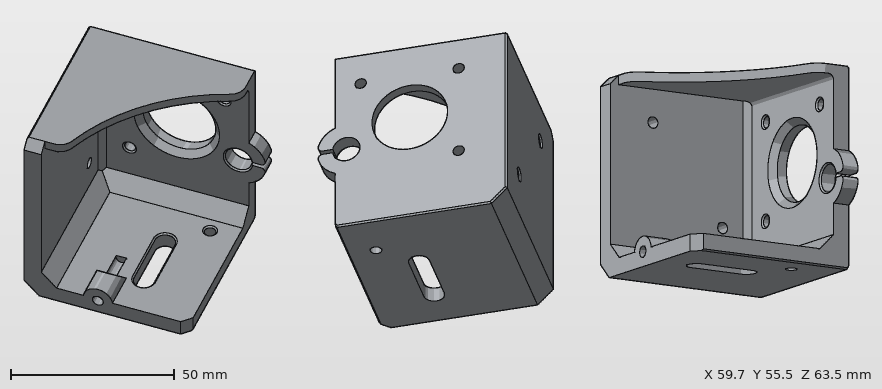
import cadquery as cq

width = 54.35
depth = 55.5
height = 63.5
wall_thickness = 5.7
floor_thickness = 5.35
back_thickness = 5.45
top_thickness = 3.0

corner_bevel = 5.0
small_bevel = 3.0
wall_bevel = 2.0
top_fillet = 2.0
edge_chamfer = 0.5
hole_chamfer = 0.5

scoop_offset = 73.55
scoop_radius = 64.8
scoop_tip_fillet = 5.0

mount_x = 30.75
mount_z = 36.95
mount_pitch = 31.0
bore_radius = 11.95
bore_chamfer = 2.1

clamp_x = 50.8
clamp_z = 28.65
clamp_radius = 9.2
clamp_hole_radius = 4.3
clamp_gap = 1.3
clamp_tip_fillet = 1.45

screw_radius = 1.8
wall_holes = [(15.4, 50.1), (40.65, 20.0)]
floor_hole = (45.4, 40.4)

slot_x = 34.2
slot_front_y = 13.3
slot_back_y = 31.1
slot_radius = 3.25

boss_x = 24.25
boss_z = 4.7
boss_radius = 4.8
boss_length = 11.8
boss_hole_length = 19.95

inner_depth = depth - back_thickness
ceiling = height - top_thickness


def prism_along_y(points, y_start, y_end):
    """Extrude an (x, z) outline between two depths."""
    return cq.Workplane("XZ", origin=(0, y_start, 0)).polyline(points).close().extrude(y_start - y_end)


def chamfered_hole(mouth_centre, direction, radius, length, chamfer):
    """Drill along direction, with a conical mouth at its start."""
    start = cq.Vector(*mouth_centre)
    axis = cq.Vector(*direction)
    drill = cq.Solid.makeCylinder(radius, length, start, axis)
    mouth = cq.Solid.makeCone(radius + chamfer, radius, chamfer, start, axis)
    return cq.Workplane(drill.fuse(mouth))


def back_hole(x, z, radius, chamfer):
    """Hole through the back plate, chamfered on its inner face."""
    return chamfered_hole((x, inner_depth, z), (0, 1, 0), radius, back_thickness, chamfer)


def make_shell():
    """Bevelled block hollowed out from the front and the right."""
    block = prism_along_y(
        [(corner_bevel, 0), (width, 0), (width, height), (0, height), (0, corner_bevel)],
        0, depth,
    )
    block = block.edges("|Y").edges("(<X and >Z) or (>X and <Z)").chamfer(edge_chamfer)
    block = block.faces(">Y").edges("not >X").chamfer(edge_chamfer)

    cavity = prism_along_y(
        [
            (wall_thickness, floor_thickness + corner_bevel),
            (wall_thickness + corner_bevel, floor_thickness),
            (width, floor_thickness),
            (width, ceiling),
            (wall_thickness, ceiling),
        ],
        0, inner_depth,
    )
    floor_wedge = (
        cq.Workplane("YZ")
        .polyline([
            (inner_depth, floor_thickness),
            (inner_depth - corner_bevel, floor_thickness),
            (inner_depth, floor_thickness + corner_bevel),
        ])
        .close()
        .extrude(width)
    )
    wall_wedge = (
        cq.Workplane("XY")
        .polyline([
            (wall_thickness, inner_depth),
            (wall_thickness + wall_bevel, inner_depth),
            (wall_thickness, inner_depth - wall_bevel),
        ])
        .close()
        .extrude(height)
    )
    top_cove = (
        cq.Workplane("YZ")
        .moveTo(inner_depth, ceiling)
        .lineTo(inner_depth, ceiling - top_fillet)
        .radiusArc((inner_depth - top_fillet, ceiling), -top_fillet)
        .close()
        .extrude(width)
    )
    return block.cut(cavity.cut(floor_wedge).cut(wall_wedge).cut(top_cove))


def trim_top_plate(body):
    """Cut the front edge and the scooped corner of the top plate, and bevel the wall corner."""
    plate_depth = depth - small_bevel
    plate = (
        cq.Workplane("XY", origin=(0, small_bevel, ceiling))
        .rect(width, plate_depth, centered=False)
        .extrude(top_thickness)
    )
    scoop = (
        cq.Workplane("XY", origin=(scoop_offset, depth - scoop_offset, ceiling))
        .circle(scoop_radius)
        .extrude(top_thickness)
    )
    plate = plate.cut(scoop)
    front_tip = plate.edges("|Z").edges("<Y").edges(">X")
    right_tip = plate.edges("|Z").edges(">X").edges("<Y")
    plate = front_tip.add(right_tip).fillet(scoop_tip_fillet)

    opening = (
        cq.Workplane("XY", origin=(wall_thickness, 0, ceiling))
        .rect(width - wall_thickness, inner_depth - top_fillet, centered=False)
        .extrude(top_thickness)
        .cut(plate)
    )
    wall_corner = (
        cq.Workplane("YZ")
        .polyline([(0, height), (small_bevel, height), (0, height - small_bevel)])
        .close()
        .extrude(width)
    )
    return body.cut(opening).cut(wall_corner)


def bevel_floor_corner(body):
    corner = (
        cq.Workplane("XY")
        .polyline([(width, 0), (width - small_bevel, 0), (width, small_bevel)])
        .close()
        .extrude(floor_thickness)
    )
    return body.cut(corner)


def add_clamp(body):
    """Split ring joined to the back plate, opening to the right."""
    clamp_face = cq.Workplane("XZ", origin=(clamp_x, inner_depth, clamp_z))
    ring = clamp_face.circle(clamp_radius).extrude(-back_thickness)
    gap = (
        clamp_face
        .center(clamp_radius / 2, 0)
        .rect(clamp_radius, clamp_gap)
        .extrude(-back_thickness)
    )
    ring = ring.cut(gap).edges("|Y and >X").fillet(clamp_tip_fillet)
    clamp_hole = back_hole(clamp_x, clamp_z, clamp_hole_radius, hole_chamfer)
    return body.union(ring).cut(gap).cut(clamp_hole)


def cut_motor_mount(body):
    """Central bore and three screw holes; the clamp takes the place of the fourth."""
    body = body.cut(back_hole(mount_x, mount_z, bore_radius, bore_chamfer))
    half_pitch = mount_pitch / 2
    for side_x, side_z in [(-1, 1), (1, 1), (-1, -1)]:
        screw_x = mount_x + side_x * half_pitch
        screw_z = mount_z + side_z * half_pitch
        body = body.cut(back_hole(screw_x, screw_z, screw_radius, hole_chamfer))
    return body


def cut_wall_holes(body):
    for y, z in wall_holes:
        body = body.cut(chamfered_hole((0, y, z), (1, 0, 0), screw_radius, wall_thickness, hole_chamfer))
    return body


def cut_floor(body):
    """Screw hole and slot, both chamfered on the upper face."""
    x, y = floor_hole
    body = body.cut(
        chamfered_hole((x, y, floor_thickness), (0, 0, -1), screw_radius, floor_thickness, hole_chamfer)
    )
    slot_face = cq.Workplane("XY", origin=(slot_x, (slot_front_y + slot_back_y) / 2, floor_thickness))
    slot_span = slot_back_y - slot_front_y
    slot = slot_face.slot2D(slot_span + 2 * slot_radius, 2 * slot_radius, 90).extrude(-floor_thickness)
    mouth_radius = slot_radius + hole_chamfer
    mouth = slot_face.slot2D(slot_span + 2 * mouth_radius, 2 * mouth_radius, 90)
    mouth = mouth.extrude(-hole_chamfer, taper=45)
    return body.cut(slot).cut(mouth)


def add_screw_boss(body):
    """Half-round boss with a sloping rear end, and a blind hole that breaks out through the floor."""
    boss_top = boss_z + boss_radius
    boss_rise = boss_top - floor_thickness
    boss = cq.Workplane("XZ", origin=(boss_x, 0, boss_z)).circle(boss_radius).extrude(-boss_length)
    side_profile = (
        cq.Workplane("YZ")
        .polyline([
            (0, floor_thickness),
            (boss_length, floor_thickness),
            (boss_length - boss_rise, boss_top),
            (0, boss_top),
        ])
        .close()
        .extrude(width)
    )
    hole = cq.Workplane("XZ", origin=(boss_x, 0, boss_z)).circle(screw_radius).extrude(-boss_hole_length)
    return body.union(boss.intersect(side_profile)).cut(hole)


result = make_shell()
result = trim_top_plate(result)
result = bevel_floor_corner(result)
result = add_clamp(result)
result = cut_motor_mount(result)
result = cut_wall_holes(result)
result = cut_floor(result)
result = add_screw_boss(result)